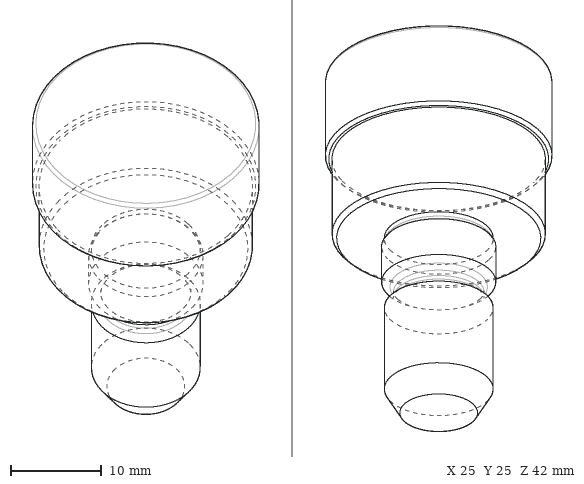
import cadquery as cq
import math

total_height = 42.0
head_bottom = 32.0
collar_bottom = 22.0
land_top = 20.95
land_bottom = 16.45
shank_top = 13.27
tip_height = 3.0

head_radius = 25.0 / 2
collar_radius = 11.75
land_radius = 6.3
shank_radius = 6.0
groove_radius = 5.0

head_chamfer = 0.38
head_round = 0.38
collar_chamfer = 0.5
tip_half_angle = math.radians(30)

relief_radius = 6.0
relief_fillet = 0.5
relief_angle = math.radians(45)

groove_fillet = 0.8
groove_upper_angle = math.radians(58)
groove_lower_angle = math.radians(48)


def flare(floor_radius, rim_radius, rim_z, fillet, angle, direction):
    """Return (r, z) points of a groove wall, from its rim to its floor.

    The cone leans `angle` away from the axis; `direction` is +1 when
    the rim lies above the floor and -1 when it lies below.
    """
    cone_end_radius = floor_radius + fillet * (1 - math.cos(angle))
    cone_height = (rim_radius - cone_end_radius) / math.tan(angle)
    arc_end_z = rim_z - direction * (cone_height + fillet * math.sin(angle))
    half = angle / 2
    return [
        (rim_radius, rim_z),
        (cone_end_radius, rim_z - direction * cone_height),
        (floor_radius + fillet * (1 - math.cos(half)), arc_end_z + direction * fillet * math.sin(half)),
        (floor_radius, arc_end_z),
    ]


relief = flare(relief_radius, land_radius, land_top, relief_fillet, relief_angle, -1)
groove_upper = flare(groove_radius, land_radius, land_bottom, groove_fillet, groove_upper_angle, 1)
groove_lower = flare(groove_radius, shank_radius, shank_top, groove_fillet, groove_lower_angle, -1)
tip_radius = shank_radius - tip_height * math.tan(tip_half_angle)

profile = (
    cq.Workplane("XZ")
    .lineTo(tip_radius, 0)
    .lineTo(shank_radius, tip_height)
    .lineTo(*groove_lower[0])
    .lineTo(*groove_lower[1])
    .threePointArc(groove_lower[2], groove_lower[3])
    .lineTo(*groove_upper[3])
    .threePointArc(groove_upper[2], groove_upper[1])
    .lineTo(*groove_upper[0])
    .lineTo(*relief[0])
    .lineTo(*relief[1])
    .threePointArc(relief[2], relief[3])
    .lineTo(relief_radius, collar_bottom)
    .lineTo(collar_radius - collar_chamfer, collar_bottom)
    .lineTo(collar_radius, collar_bottom + collar_chamfer)
    .lineTo(collar_radius, head_bottom)
    .lineTo(head_radius - head_chamfer, head_bottom)
    .lineTo(head_radius, head_bottom + head_chamfer)
    .lineTo(head_radius, total_height - head_round)
    .tangentArcPoint((head_radius - head_round, total_height), relative=False)
    .lineTo(0, total_height)
    .close()
)

result = profile.revolve(360, (0, 0, 0), (0, 1, 0))